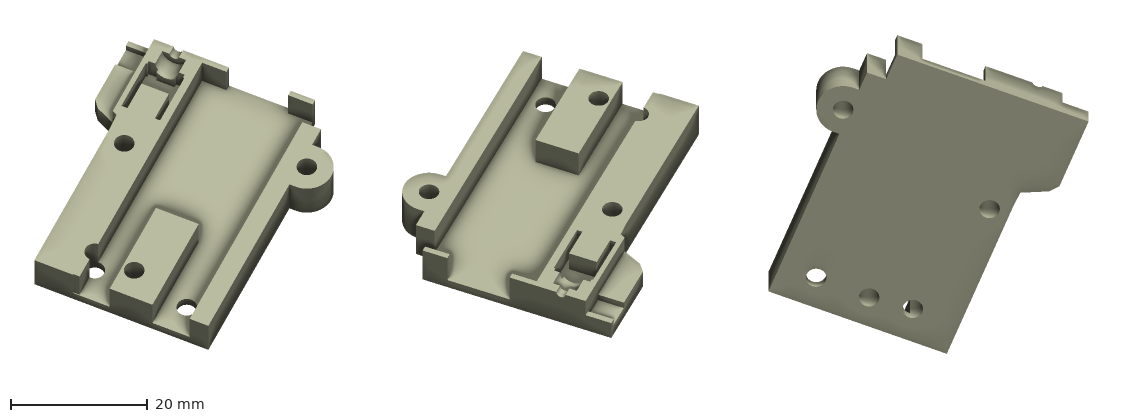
import cadquery as cq
import math

TILT = 1.7
OVERALL_LENGTH = 44.2

HEIGHT = 6.0
FLOOR = 1.45
WIDTH = 28.05
CHANNEL_LEFT = 6.25
CHANNEL_RIGHT = 25.05
LENGTH = (OVERALL_LENGTH - CHANNEL_RIGHT * math.sin(math.radians(TILT))) / math.cos(math.radians(TILT))
RIGHT_RAIL_LENGTH = 39.07
LEFT_RAIL_BEND = 26.5
LEFT_RAIL_FLARE = 0.15
LEFT_RAIL_CORNER = 28.8

END_WALL_THICKNESS = 0.9
END_WALL_FRONT = LENGTH - END_WALL_THICKNESS
END_WALL_RIGHT = 11.2
POST_LEFT = 21.13

FLANGE_LEFT = -5.05
FLANGE_TOP = 3.1
FLANGE_STEP = -0.95
FLANGE_RECESS_BOTTOM = 2.0
FLANGE_RECESS_LENGTH = 3.7
FLANGE_CORNER_START = (-4.0, 30.6)
FLANGE_CORNER_END = 31.9

HOLE_DIAMETER = 3.0
LUG_CENTER = (29.05, 32.05)
LUG_RADIUS = 3.95
HOLE_CENTERS = [(7.4, 5.1), (14.0, 4.5), (22.4, 4.7), (3.05, 24.6), LUG_CENTER]

BLOCK_LEFT = 12.15
BLOCK_RIGHT = 19.05
BLOCK_LENGTH = 16.05

POCKET_LEFT = -0.18
POCKET_RIGHT = 6.05
POCKET_FRONT = 30.6
POCKET_BACK = 39.05
POCKET_BOTTOM = 2.75
NOTCH_LEFT = 0.05
NOTCH_RIGHT = 5.85
NOTCH_BACK = 39.55
ISLAND_LEFT = 0.8
ISLAND_RIGHT = 5.2
ISLAND_BACK = 35.45
GROOVE_CENTER = 3.0
GROOVE_DIAMETER = 3.8
GROOVE_BACK = 42.05
NARROW_GROOVE_DIAMETER = 1.5
BOSS_WIDTH = 2.9

STRIP_THICKNESS = 0.85
FIN_THICKNESS = 0.18
STRIP_FRONT = 0.15


def box(left, right, front, back, bottom, top):
    """Box between the given limits along X, Y and Z."""
    return cq.Workplane("XY").box(
        right - left, back - front, top - bottom, centered=False
    ).translate((left, front, bottom))


def screw_holes():
    """Cylinders through the full height at every screw position."""
    return cq.Workplane("XY").pushPoints(HOLE_CENTERS).circle(HOLE_DIAMETER / 2).extrude(HEIGHT)


def outer_block():
    """Full-height block with the left flange outline and the right lug."""
    block = (
        cq.Workplane("XY")
        .polyline([
            (0, 0),
            (WIDTH, 0),
            (WIDTH, RIGHT_RAIL_LENGTH),
            (CHANNEL_RIGHT, RIGHT_RAIL_LENGTH),
            (CHANNEL_RIGHT, LENGTH),
            (FLANGE_LEFT, LENGTH),
            (FLANGE_LEFT, FLANGE_CORNER_END),
            FLANGE_CORNER_START,
            (-LEFT_RAIL_FLARE, LEFT_RAIL_CORNER),
            (0, LEFT_RAIL_BEND),
        ])
        .close()
        .extrude(HEIGHT)
    )
    lug_x, lug_y = LUG_CENTER
    lug = cq.Workplane("XY").center(lug_x, lug_y).circle(LUG_RADIUS).extrude(HEIGHT)
    lug_root = box(WIDTH, lug_x, lug_y - LUG_RADIUS, lug_y + LUG_RADIUS, 0, HEIGHT)
    lug = lug.intersect(box(WIDTH, lug_x + LUG_RADIUS, 0, LENGTH, 0, HEIGHT))
    return block.union(lug_root).union(lug)


def channel():
    """Space between the rails, leaving the end wall, corner post, block and fin."""
    space = box(CHANNEL_LEFT, CHANNEL_RIGHT, 0, LENGTH, FLOOR, HEIGHT)
    end_wall = box(CHANNEL_LEFT, END_WALL_RIGHT, END_WALL_FRONT, LENGTH, FLOOR, HEIGHT)
    post = box(POST_LEFT, CHANNEL_RIGHT, END_WALL_FRONT, LENGTH, FLOOR, HEIGHT)
    block = box(BLOCK_LEFT, BLOCK_RIGHT, 0, BLOCK_LENGTH, FLOOR, HEIGHT)
    fin_left = CHANNEL_LEFT + STRIP_THICKNESS
    fin = box(fin_left, fin_left + FIN_THICKNESS, STRIP_FRONT, END_WALL_FRONT, FLOOR, HEIGHT)
    return space.cut(end_wall).cut(post).cut(block).cut(fin)


def flange_clearance():
    """Space above the flange, including the recess in front of its rear lip."""
    above = box(FLANGE_LEFT, FLANGE_STEP, 0, LENGTH, FLANGE_TOP, HEIGHT)
    recess = box(
        FLANGE_LEFT, FLANGE_STEP,
        END_WALL_FRONT - FLANGE_RECESS_LENGTH, END_WALL_FRONT,
        FLANGE_RECESS_BOTTOM, FLANGE_TOP,
    )
    return above.union(recess)


def groove(diameter, front, back):
    """Round groove along Y with its axis on the top face."""
    return (
        cq.Workplane("XZ", origin=(GROOVE_CENTER, front, HEIGHT))
        .circle(diameter / 2)
        .extrude(front - back)
    )


def rail_pocket():
    """Pocket around the island, with rear notches beside a boss, and the stepped groove."""
    pocket = box(POCKET_LEFT, POCKET_RIGHT, POCKET_FRONT, POCKET_BACK, POCKET_BOTTOM, HEIGHT)
    notch = box(NOTCH_LEFT, NOTCH_RIGHT, POCKET_BACK, NOTCH_BACK, POCKET_BOTTOM, HEIGHT)
    boss = box(
        GROOVE_CENTER - BOSS_WIDTH / 2, GROOVE_CENTER + BOSS_WIDTH / 2,
        POCKET_BACK, NOTCH_BACK, POCKET_BOTTOM, HEIGHT,
    )
    island = box(ISLAND_LEFT, ISLAND_RIGHT, POCKET_FRONT, ISLAND_BACK, POCKET_BOTTOM, HEIGHT)
    wide_groove = groove(GROOVE_DIAMETER, POCKET_BACK, GROOVE_BACK)
    narrow_groove = groove(NARROW_GROOVE_DIAMETER, GROOVE_BACK, LENGTH)
    return pocket.union(notch.cut(boss)).cut(island).union(wide_groove).union(narrow_groove)


def turned(body):
    """Turn a finished body into its place."""
    return body.rotate((0, 0, 0), (0, 0, 1), TILT)


def make_base():
    base = outer_block().cut(channel()).cut(flange_clearance()).cut(rail_pocket())
    return turned(base.cut(screw_holes()))


def make_strip_pieces():
    """Upright strip between the left rail and the fin, severed into two solids by a screw hole."""
    strip = box(CHANNEL_LEFT, CHANNEL_LEFT + STRIP_THICKNESS, STRIP_FRONT, END_WALL_FRONT, FLOOR, HEIGHT)
    return turned(strip.cut(screw_holes())).solids()


base = make_base()
strip_pieces = make_strip_pieces()

result = cq.Compound.makeCompound([base.val(), *strip_pieces.vals()])